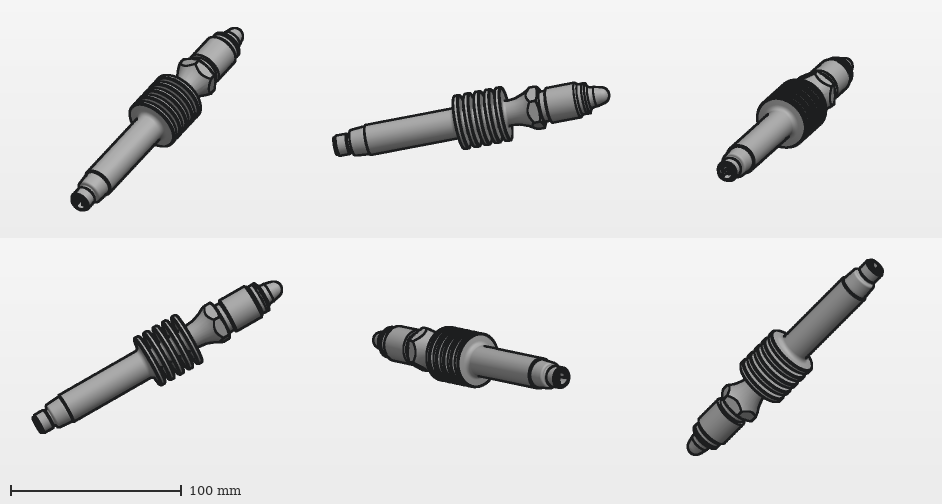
import cadquery as cq
import math

LENGTH = 165.6
OVERLAP = 0.8

PLUG_RADIUS = 6.1
PLUG_LIP_RADIUS = 5.3
PLUG_LIP_LENGTH = 1.5
PLUG_END = 8.3
PLUG_CHAMFER = 0.7
PLUG_NECK_RADIUS = 5.5
PLUG_NECK_FILLET = 0.7
SOCKET_RADIUS = 4.3
SOCKET_DEPTH = 7.5

CONTACT_RECESS = 0.5
CONTACT_WIDTH = 0.8
CONTACT_OFFSET = 2.5
CENTRE_BLADE_LENGTH = 5.6
CENTRE_BLADE_STEP = 3.3
SIDE_BLADE_LENGTH = 3.0
SIDE_BLADE_Z = 1.2
PIN_RADIUS = 0.75

COLLAR_START = 10.0
COLLAR_END_ROUND = 1.3
COLLAR_SMALL_RADIUS = 7.8
COLLAR_LARGE_RADIUS = 8.3
COLLAR_TAPER_END = 17.7

SHAFT_START = 19.4
SHAFT_CHAMFER = 0.5
SHAFT_RADIUS = 9.03
SHAFT_END = 71.5

FIN_COUNT = 5
FIN_PITCH = 6.3
FIN_THICKNESS = 3.3
FIN_RADIUS = 15.99
FIN_EDGE_CHAMFER = 0.5
FIRST_FIN_START = 74.9
FIN_CORE_RADIUS = 6.3
SHAFT_FLARE_RADIUS = 11.5
SHAFT_FLARE_ARC = 2.8
FIN_FACE_SLOPE = 0.5
LAST_FIN_END = FIRST_FIN_START + (FIN_COUNT - 1) * FIN_PITCH + FIN_THICKNESS

NECK_RADIUS = 7.3
NECK_FLARE_ARC = 23.7
NECK_FILLET = 1.7
HEX_ACROSS_FLATS = 22.2
HEX_CORNER_RADIUS = 12.8
HEX_END = 125.2
HEX_BEVEL_LENGTH = 1.3
HEX_BEVEL_RADIUS = 10.1

STEP_RADIUS = 9.03
BARREL_RADIUS = 10.5
BARREL_START = 128.7
BARREL_START_BEVEL = 0.8
BARREL_END = 148.1
BARREL_END_BEVEL = 1.5
RIM_RADIUS = 9.1
RIM_START = 150.9
RIM_END = 152.5
NOSE_CONE_LARGE_RADIUS = 8.5
NOSE_CONE_BASE = 153.9
NOSE_CONE_BASE_RADIUS = 6.6
NOSE_TAPER_BASE = 157.4
NOSE_FLARE_ARC = 5.0
NOSE_RADIUS = 5.0
NOSE_HALF_ANGLE = math.radians(13.5)


def revolve_profile(outline):
    """Turn a (radius, Y) outline around the Y axis."""
    return outline.close().revolve(360, (0, 0, 0), (0, 1, 0))


def make_shaft():
    return revolve_profile(
        cq.Workplane("XY")
        .lineTo(PLUG_LIP_RADIUS, 0)
        .lineTo(PLUG_LIP_RADIUS, PLUG_LIP_LENGTH)
        .lineTo(PLUG_RADIUS, PLUG_LIP_LENGTH)
        .lineTo(PLUG_RADIUS, PLUG_END - PLUG_CHAMFER)
        .lineTo(PLUG_NECK_RADIUS, PLUG_END)
        .lineTo(PLUG_NECK_RADIUS, COLLAR_START - PLUG_NECK_FILLET)
        .radiusArc((PLUG_NECK_RADIUS + PLUG_NECK_FILLET, COLLAR_START), PLUG_NECK_FILLET)
        .lineTo(COLLAR_SMALL_RADIUS - COLLAR_END_ROUND, COLLAR_START)
        .radiusArc((COLLAR_SMALL_RADIUS, COLLAR_START + COLLAR_END_ROUND), -COLLAR_END_ROUND)
        .lineTo(COLLAR_LARGE_RADIUS, COLLAR_TAPER_END)
        .lineTo(COLLAR_LARGE_RADIUS, SHAFT_START)
        .lineTo(SHAFT_RADIUS, SHAFT_START + SHAFT_CHAMFER)
        .lineTo(SHAFT_RADIUS, SHAFT_END)
        .radiusArc((SHAFT_FLARE_RADIUS, FIRST_FIN_START - FIN_FACE_SLOPE), SHAFT_FLARE_ARC)
        .lineTo(FIN_RADIUS - FIN_EDGE_CHAMFER, FIRST_FIN_START)
        .lineTo(FIN_RADIUS - FIN_EDGE_CHAMFER, FIRST_FIN_START + OVERLAP)
        .lineTo(0, FIRST_FIN_START + OVERLAP)
    )


def make_fins():
    """Fins with chamfered edges, joined by a core whose gaps are half-round at the root."""
    gap_radius = (FIN_PITCH - FIN_THICKNESS) / 2
    root_radius = FIN_CORE_RADIUS + gap_radius
    face_radius = FIN_RADIUS - FIN_EDGE_CHAMFER
    outline = cq.Workplane("XY").moveTo(0, FIRST_FIN_START)
    for i in range(FIN_COUNT):
        start = FIRST_FIN_START + i * FIN_PITCH
        end = start + FIN_THICKNESS
        outline = (
            outline.lineTo(face_radius, start)
            .lineTo(FIN_RADIUS, start + FIN_EDGE_CHAMFER)
            .lineTo(FIN_RADIUS, end - FIN_EDGE_CHAMFER)
            .lineTo(face_radius, end)
        )
        if i < FIN_COUNT - 1:
            outline = outline.lineTo(root_radius, end).threePointArc(
                (FIN_CORE_RADIUS, end + gap_radius),
                (root_radius, end + 2 * gap_radius),
            )
    return revolve_profile(outline.lineTo(0, LAST_FIN_END))


def make_hexagon():
    drop = NECK_RADIUS + NECK_FLARE_ARC - HEX_CORNER_RADIUS
    flare_end = LAST_FIN_END + NECK_FILLET + math.sqrt(NECK_FLARE_ARC**2 - drop**2)
    start = LAST_FIN_END - OVERLAP
    turned = revolve_profile(
        cq.Workplane("XY")
        .moveTo(0, start)
        .lineTo(NECK_RADIUS + NECK_FILLET, start)
        .lineTo(NECK_RADIUS + NECK_FILLET, LAST_FIN_END)
        .radiusArc((NECK_RADIUS, LAST_FIN_END + NECK_FILLET), NECK_FILLET)
        .radiusArc((HEX_CORNER_RADIUS, flare_end), NECK_FLARE_ARC)
        .lineTo(HEX_CORNER_RADIUS, HEX_END - HEX_BEVEL_LENGTH)
        .lineTo(HEX_BEVEL_RADIUS, HEX_END)
        .lineTo(0, HEX_END)
    )
    across_corners = HEX_ACROSS_FLATS / math.cos(math.pi / 6)
    prism = (
        cq.Workplane("XZ", origin=(0, HEX_END, 0))
        .transformed(rotate=(0, 0, 90))
        .polygon(6, across_corners)
        .extrude(HEX_END - start)
    )
    return turned.intersect(prism)


def make_barrel_and_nose():
    sphere_edge_radius = NOSE_RADIUS * math.cos(NOSE_HALF_ANGLE)
    sphere_edge = LENGTH - NOSE_RADIUS * (1 - math.sin(NOSE_HALF_ANGLE))
    taper_base_radius = sphere_edge_radius + (sphere_edge - NOSE_TAPER_BASE) * math.tan(NOSE_HALF_ANGLE)
    return revolve_profile(
        cq.Workplane("XY")
        .moveTo(0, HEX_END - OVERLAP)
        .lineTo(STEP_RADIUS, HEX_END - OVERLAP)
        .lineTo(STEP_RADIUS, BARREL_START)
        .lineTo(BARREL_RADIUS, BARREL_START + BARREL_START_BEVEL)
        .lineTo(BARREL_RADIUS, BARREL_END - BARREL_END_BEVEL)
        .lineTo(STEP_RADIUS, BARREL_END)
        .lineTo(STEP_RADIUS, RIM_START)
        .lineTo(RIM_RADIUS, RIM_START)
        .lineTo(RIM_RADIUS, RIM_END)
        .lineTo(NOSE_CONE_LARGE_RADIUS, RIM_END)
        .lineTo(NOSE_CONE_BASE_RADIUS, NOSE_CONE_BASE)
        .radiusArc((taper_base_radius, NOSE_TAPER_BASE), NOSE_FLARE_ARC)
        .lineTo(sphere_edge_radius, sphere_edge)
        .radiusArc((0, LENGTH), -NOSE_RADIUS)
    )


def make_contacts():
    base = SOCKET_DEPTH + OVERLAP
    height = base - CONTACT_RECESS
    floor = cq.Workplane("XZ", origin=(0, base, 0))
    centre_blade = floor.rect(CONTACT_WIDTH, CENTRE_BLADE_LENGTH).extrude(height - CENTRE_BLADE_STEP)
    side_blades = (
        floor.pushPoints([(-CONTACT_OFFSET, SIDE_BLADE_Z), (CONTACT_OFFSET, SIDE_BLADE_Z)])
        .rect(CONTACT_WIDTH, SIDE_BLADE_LENGTH)
        .extrude(height)
    )
    pin = floor.center(-CONTACT_OFFSET, -CONTACT_OFFSET).circle(PIN_RADIUS).extrude(height)
    return centre_blade.union(side_blades).union(pin)


socket = cq.Workplane("XZ").circle(SOCKET_RADIUS).extrude(-SOCKET_DEPTH)

result = (
    make_shaft()
    .union(make_fins())
    .union(make_hexagon())
    .union(make_barrel_and_nose())
    .cut(socket)
    .union(make_contacts())
)